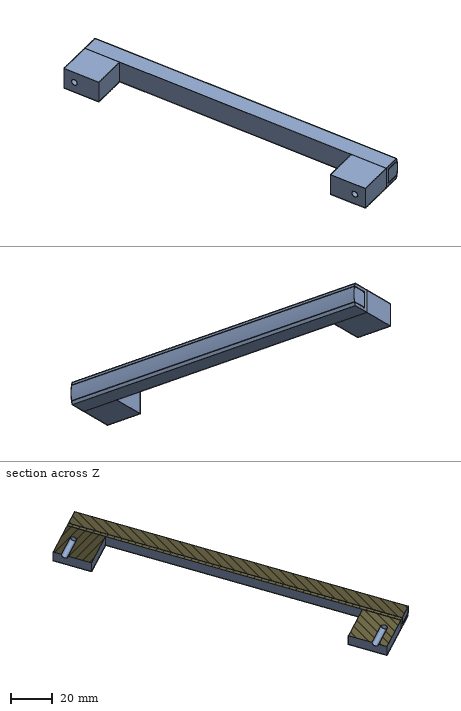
import cadquery as cq
import math

length = 172.0
depth = 28.7
height = 12.0

post_width = 20.0
post_depth = 18.5

hole_diameter = 3.3
hole_depth = 12.0
hole_inset = 6.0
drill_point_angle = 118.0

crown_rise = 1.0
crown_start = depth - crown_rise

slot_height = 8.6
slot_floor = 20.6
inlay_gap = 0.2
inlay_height = slot_height - 2 * inlay_gap


def extrude_along_length(profile):
    """Extrude a YZ profile symmetrically over the full handle length."""
    return profile.extrude(length / 2, both=True)


def make_crowned_stock():
    """Full-height stock with a flat back and an arched front."""
    half_height = height / 2
    profile = (
        cq.Workplane("YZ")
        .moveTo(post_depth, -half_height)
        .lineTo(crown_start, -half_height)
        .threePointArc((depth, 0), (crown_start, half_height))
        .lineTo(post_depth, half_height)
        .close()
    )
    return extrude_along_length(profile)


def make_front_strip(strip_height):
    """Full-length block from the slot floor to the foremost point of the crown."""
    strip_depth = depth - slot_floor
    profile = (
        cq.Workplane("YZ")
        .center(slot_floor + strip_depth / 2, 0)
        .rect(strip_depth, strip_height)
    )
    return extrude_along_length(profile)


def make_bar():
    """Crowned bar with an open slot along its front."""
    return make_crowned_stock().cut(make_front_strip(slot_height))


def make_inlay():
    """Strip seated on the slot floor, its front following the crown."""
    return make_crowned_stock().intersect(make_front_strip(inlay_height))


def make_screw_hole(hole_x):
    """Pointed drill shape entering the mounting face along +Y."""
    radius = hole_diameter / 2
    point_depth = radius / math.tan(math.radians(drill_point_angle / 2))
    return (
        cq.Workplane("XY")
        .moveTo(hole_x, 0)
        .lineTo(hole_x + radius, 0)
        .lineTo(hole_x + radius, hole_depth)
        .lineTo(hole_x, hole_depth + point_depth)
        .close()
        .revolve(360, (hole_x, 0, 0), (hole_x, 1, 0))
    )


def make_post(side):
    """Rectangular post at one end of the bar; side is -1 or 1."""
    post_x = side * (length - post_width) / 2
    hole_x = side * (length / 2 - hole_inset)
    block = cq.Workplane("XY").box(post_width, post_depth, height).translate((post_x, post_depth / 2, 0))
    return block.cut(make_screw_hole(hole_x))


bar = make_bar()
inlay = make_inlay()
posts = [make_post(side).val() for side in (-1, 1)]

result = cq.Compound.makeCompound([bar.val(), inlay.val(), *posts])